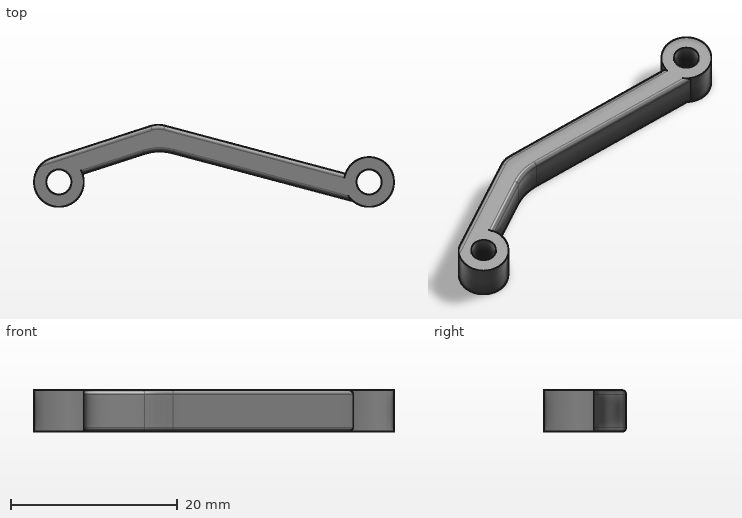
import cadquery as cq
import math

overall_length = 43.2
thickness = 5.0
eye_diameter = 6.0
hole_diameter = 3.0
arm_width = 3.0
bend_x = 11.85
bend_y = 7.0
right_arm_slope = 14.9
outer_bend_radius = 3.0
inner_bend_radius = 6.0
edge_radius = 0.5

eye_radius = eye_diameter / 2
eye_spacing = overall_length - eye_diameter
eye_centres = [(0, 0), (eye_spacing, 0)]

bend_distance = math.hypot(bend_x, bend_y)
left_angle = math.atan2(bend_y, bend_x) - math.asin(eye_radius / bend_distance)
right_angle = -math.radians(right_arm_slope)


def along(point, angle, distance):
    """Point reached from another by moving in a given direction."""
    x, y = point
    return (x + distance * math.cos(angle), y + distance * math.sin(angle))


def make_arm():
    """Bent bar with rounded bends and rounded long edges."""
    outer_corner = (bend_x, bend_y)
    half_turn = (left_angle - right_angle) / 2
    bisector = (left_angle + right_angle) / 2 - math.pi / 2
    inner_corner = along(outer_corner, bisector, arm_width / math.cos(half_turn))

    left_length = math.sqrt(bend_distance**2 - eye_radius**2)
    right_length = ((eye_spacing - bend_x) * math.cos(right_angle)
                    - bend_y * math.sin(right_angle))
    left_outer = along(outer_corner, left_angle, -left_length)
    right_outer = along(outer_corner, right_angle, right_length)
    left_inner = along(left_outer, left_angle - math.pi / 2, arm_width)
    right_inner = along(right_outer, right_angle - math.pi / 2, arm_width)

    outline = [left_outer, outer_corner, right_outer, right_inner, inner_corner, left_inner]
    arm = cq.Workplane("XY").polyline(outline).close().extrude(thickness)
    for corner, radius in ((outer_corner, outer_bend_radius), (inner_corner, inner_bend_radius)):
        middle = (corner[0], corner[1], thickness / 2)
        arm = arm.edges(cq.selectors.NearestToPointSelector(middle)).fillet(radius)

    for start, corner in ((left_outer, outer_corner), (left_inner, inner_corner)):
        for z in (0, thickness):
            middle = ((start[0] + corner[0]) / 2, (start[1] + corner[1]) / 2, z)
            arm = arm.edges(cq.selectors.NearestToPointSelector(middle)).fillet(edge_radius)
    return arm


def make_left_eye():
    """Eye whose rim is trimmed by the rounded outer edges of the left arm running on across it."""
    eye = cq.Workplane("XY").circle(eye_radius).extrude(thickness)
    envelope = (
        cq.Workplane("XY")
        .rect(2 * eye_diameter, eye_diameter)
        .extrude(thickness)
        .faces(">Y")
        .edges("|X")
        .fillet(edge_radius)
        .rotate((0, 0, 0), (0, 0, 1), math.degrees(left_angle))
    )
    return eye.intersect(envelope)


right_eye = cq.Workplane("XY").center(eye_spacing, 0).circle(eye_radius).extrude(thickness)
holes = cq.Workplane("XY").pushPoints(eye_centres).circle(hole_diameter / 2).extrude(thickness)

result = make_arm().union(make_left_eye()).union(right_eye).cut(holes)